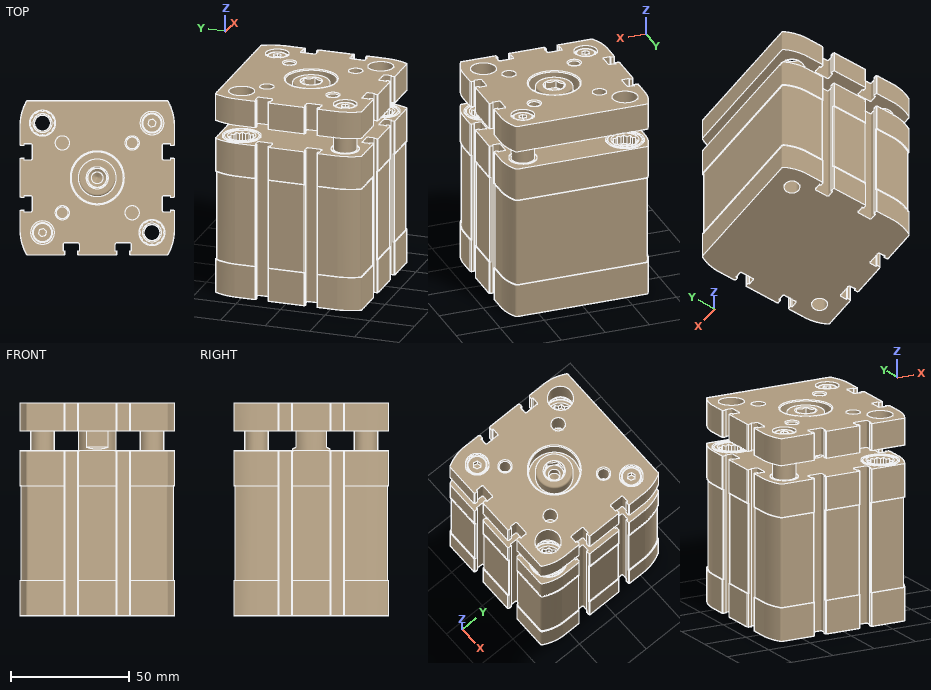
import cadquery as cq
import math

WIDTH = 65.5
TOTAL_HEIGHT = 90.2
HOUSING_HEIGHT = 70.0
PLATE_THICKNESS = 12.0
PLATE_BOTTOM = TOTAL_HEIGHT - PLATE_THICKNESS
HALF = WIDTH / 2

FLANK_END = 23.0
FLANK_TIP_X = 29.9
FLANK_BULGE_X = 31.9
HOUSING_CORNER_RADIUS = 1.1
PLATE_CORNER_RADIUS = 0.7

SLOT_OFFSET = 11.0
SLOT_DEPTH = 5.1
SLOT_LIP = 1.8
SLOT_WIDTH = 6.8
SLOT_MOUTH = 5.3
SLOT_EDGE_CHAMFER = 0.4
SLOT_FLOOR_FILLET = 0.5

END_CAP_HEIGHT = 15.0
BARREL_INSET = 0.4

CORNER_OFFSET = 23.2
ROD_CORNERS = [(-CORNER_OFFSET, -CORNER_OFFSET), (CORNER_OFFSET, CORNER_OFFSET)]
SCREW_CORNERS = [(-CORNER_OFFSET, CORNER_OFFSET), (CORNER_OFFSET, -CORNER_OFFSET)]

HEX_SIDES = 6
SCREW_HEX_TURN = 15
TWELVE_POINT_STEP = 30

TIE_RECESS_DIAMETER = 16.4
TIE_HEAD_DIAMETER = 15.5
TIE_SOCKET_RIM = 12.0
TIE_HEAD_CHAMFER = 0.45
TIE_SOCKET = 9.5
TIE_SOCKET_DEPTH = 4.5
TIE_COUNTERSINK = 8.0
TIE_BORE = 6.7

ACCESS_DIAMETER = 11.0
SMALL_HOLE_OFFSET = 14.8
SMALL_HOLE_DIAMETER = 6.0
THREAD_DIAMETER = 5.0
CENTRE_BORE = 22.0
CENTRE_BORE_DEPTH = 7.2
CENTRE_BORE_CHAMFER = 0.45

PISTON_ROD_DIAMETER = 16.0
ROD_TOP_DROP = 1.0
ROD_TOP_FILLET = 1.0
ROD_FLATS = 13.0
FLATS_LENGTH = 6.8
FLATS_RAMP = 0.8
ROD_HEX = 8.0
ROD_HEX_DEPTH = 3.5
ROD_HEX_RIM = 9.4
ROD_PILOT_DIAMETER = 5.0
ROD_PILOT_DEPTH = 9.0
DRILL_ANGLE = 118

GUIDE_ROD_DIAMETER = 10.0
GUIDE_SEAT_DIAMETER = 12.0
GUIDE_SEAT_DEPTH = 0.3
GUIDE_SCREW_HEAD = 8.5
GUIDE_SCREW_DROP = 0.8
GUIDE_SCREW_CHAMFER = 0.4
GUIDE_RECESS_DEPTH = 1.6
GUIDE_HEX = 3.1
GUIDE_HEX_DEPTH = 3.0


def cylinder(diameter, bottom, top, centre=(0, 0)):
    return cq.Workplane("XY", origin=(*centre, bottom)).circle(diameter / 2).extrude(top - bottom)


def cone(bottom_diameter, top_diameter, bottom, top, centre=(0, 0)):
    solid = cq.Solid.makeCone(bottom_diameter / 2, top_diameter / 2, top - bottom, cq.Vector(*centre, bottom))
    return cq.Workplane(obj=solid)


def hexagon(across_flats, bottom, top, centre=(0, 0), turn=0):
    """Hexagonal prism with two corners on the X direction, then turned about its axis."""
    corner_diameter = across_flats / math.cos(math.pi / HEX_SIDES)
    outline = cq.Workplane("XY", origin=(*centre, bottom)).polygon(HEX_SIDES, corner_diameter)
    prism = outline.extrude(top - bottom)
    return prism.rotate((*centre, 0), (*centre, 1), turn)


def drill_tip(diameter, top, centre=(0, 0)):
    """Downward cone left by a drill, starting at the full diameter."""
    height = diameter / 2 / math.tan(math.radians(DRILL_ANGLE / 2))
    return cone(0, diameter, top - height, top, centre)


def section_prism(bottom, top, corner_radius, inset=0.0):
    """Square prism whose X sides curve in towards the Y sides; inset shrinks it all round."""
    side = HALF - inset
    tip_x = FLANK_TIP_X - inset
    bulge_x = FLANK_BULGE_X - inset
    bulge_y = (FLANK_END + side) / 2
    return (
        cq.Workplane("XY", origin=(0, 0, bottom))
        .moveTo(side, -FLANK_END)
        .lineTo(side, FLANK_END)
        .threePointArc((bulge_x, bulge_y), (tip_x, side))
        .lineTo(-tip_x, side)
        .threePointArc((-bulge_x, bulge_y), (-side, FLANK_END))
        .lineTo(-side, -FLANK_END)
        .threePointArc((-bulge_x, -bulge_y), (-tip_x, -side))
        .lineTo(tip_x, -side)
        .threePointArc((bulge_x, -bulge_y), (side, -FLANK_END))
        .close()
        .extrude(top - bottom)
        .faces(">Y or <Y")
        .edges("|Z")
        .fillet(corner_radius)
    )


def slot_cutter(bottom, top, inset=0.0):
    """All six T-slots, with bevelled mouth edges, as one cutter."""
    mouth = SLOT_MOUTH / 2
    wide = SLOT_WIDTH / 2
    face = HALF - inset
    slot = (
        cq.Workplane("XY", origin=(0, 0, bottom))
        .polyline([
            (face, -mouth - SLOT_EDGE_CHAMFER),
            (face, mouth + SLOT_EDGE_CHAMFER),
            (face - SLOT_EDGE_CHAMFER, mouth),
            (HALF - SLOT_LIP, mouth),
            (HALF - SLOT_LIP, wide),
            (HALF - SLOT_DEPTH, wide),
            (HALF - SLOT_DEPTH, -wide),
            (HALF - SLOT_LIP, -wide),
            (HALF - SLOT_LIP, -mouth),
            (face - SLOT_EDGE_CHAMFER, -mouth),
        ])
        .close()
        .extrude(top - bottom)
        .faces("<X")
        .edges("|Z")
        .fillet(SLOT_FLOOR_FILLET)
    )
    pair = slot.translate((0, SLOT_OFFSET, 0)).union(slot.translate((0, -SLOT_OFFSET, 0)))
    cutter = pair
    for angle in (180, -90):
        cutter = cutter.union(pair.rotate((0, 0, 0), (0, 0, 1), angle))
    return cutter


def profile_block(bottom, top, corner_radius, inset=0.0):
    return section_prism(bottom, top, corner_radius, inset).cut(slot_cutter(bottom, top, inset))


def cut_tie_screw(housing, centre):
    """Screw head flush with the housing top: ring groove round it, twelve-point socket and bore in it."""
    top = HOUSING_HEIGHT
    floor = top - TIE_SOCKET_DEPTH
    head = cylinder(TIE_HEAD_DIAMETER, floor, top, centre).faces(">Z").edges().chamfer(TIE_HEAD_CHAMFER)
    groove = cylinder(TIE_RECESS_DIAMETER, floor, top, centre).cut(head)
    socket_bevel = (TIE_SOCKET_RIM - TIE_SOCKET) / 2
    socket = hexagon(TIE_SOCKET, floor, top, centre, SCREW_HEX_TURN).union(
        hexagon(TIE_SOCKET, floor, top, centre, SCREW_HEX_TURN + TWELVE_POINT_STEP)
    )
    sink = (TIE_COUNTERSINK - TIE_BORE) / 2
    return (
        housing.cut(groove)
        .cut(socket)
        .cut(cone(TIE_SOCKET, TIE_SOCKET_RIM, top - socket_bevel, top, centre))
        .cut(cone(TIE_BORE, TIE_COUNTERSINK, floor - sink, floor, centre))
        .cut(cylinder(TIE_BORE, 0, floor, centre))
    )


def make_housing():
    cap_top = HOUSING_HEIGHT - END_CAP_HEIGHT
    housing = (
        profile_block(0, END_CAP_HEIGHT, HOUSING_CORNER_RADIUS)
        .union(profile_block(END_CAP_HEIGHT, cap_top, HOUSING_CORNER_RADIUS, BARREL_INSET))
        .union(profile_block(cap_top, HOUSING_HEIGHT, HOUSING_CORNER_RADIUS))
    )
    for centre in SCREW_CORNERS:
        housing = cut_tie_screw(housing, centre)
    for centre in ROD_CORNERS:
        seat = cylinder(GUIDE_SEAT_DIAMETER, HOUSING_HEIGHT - GUIDE_SEAT_DEPTH, HOUSING_HEIGHT, centre)
        housing = housing.cut(seat)
    return housing


def make_plate():
    top = TOTAL_HEIGHT
    plate = profile_block(PLATE_BOTTOM, top, PLATE_CORNER_RADIUS)
    bore_floor = top - CENTRE_BORE_DEPTH
    rim = CENTRE_BORE + 2 * CENTRE_BORE_CHAMFER
    plate = plate.cut(cylinder(CENTRE_BORE, bore_floor, top))
    plate = plate.cut(cone(CENTRE_BORE, rim, top - CENTRE_BORE_CHAMFER, top))
    for centre in SCREW_CORNERS:
        plate = plate.cut(cylinder(ACCESS_DIAMETER, PLATE_BOTTOM, top, centre))
    thread_bevel = (SMALL_HOLE_DIAMETER - THREAD_DIAMETER) / 2
    for side in (-1, 1):
        plain = (side * SMALL_HOLE_OFFSET, -side * SMALL_HOLE_OFFSET)
        threaded = (side * SMALL_HOLE_OFFSET, side * SMALL_HOLE_OFFSET)
        plate = (
            plate.cut(cylinder(SMALL_HOLE_DIAMETER, PLATE_BOTTOM, top, plain))
            .cut(cylinder(THREAD_DIAMETER, PLATE_BOTTOM, top, threaded))
            .cut(cone(THREAD_DIAMETER, SMALL_HOLE_DIAMETER, top - thread_bevel, top, threaded))
        )
    return plate


def make_piston_rod():
    top = TOTAL_HEIGHT - ROD_TOP_DROP
    rod = cylinder(PISTON_ROD_DIAMETER, HOUSING_HEIGHT, top).faces(">Z").edges().fillet(ROD_TOP_FILLET)
    radius = PISTON_ROD_DIAMETER / 2
    flat_end = PLATE_BOTTOM - FLATS_LENGTH
    flat_cutter = (
        cq.Workplane("YZ", origin=(-radius, 0, 0))
        .polyline([
            (ROD_FLATS / 2, PLATE_BOTTOM),
            (radius, PLATE_BOTTOM),
            (radius, flat_end - FLATS_RAMP),
            (ROD_FLATS / 2, flat_end),
        ])
        .close()
        .extrude(PISTON_ROD_DIAMETER)
    )
    rod = rod.cut(flat_cutter).cut(flat_cutter.mirror("XZ"))
    hex_floor = top - ROD_HEX_DEPTH
    rim_bevel = (ROD_HEX_RIM - ROD_HEX) / 2
    return (
        rod.cut(hexagon(ROD_HEX, hex_floor, top))
        .cut(cone(ROD_HEX, ROD_HEX_RIM, top - rim_bevel, top))
        .cut(drill_tip(ROD_HEX, hex_floor))
        .cut(cylinder(ROD_PILOT_DIAMETER, top - ROD_PILOT_DEPTH, hex_floor))
        .cut(drill_tip(ROD_PILOT_DIAMETER, top - ROD_PILOT_DEPTH))
    )


def add_guide_rod(body, centre):
    """Guide rod below the plate, and the socket screw that holds it in a recess in the plate top."""
    recess_floor = TOTAL_HEIGHT - GUIDE_RECESS_DEPTH
    screw_top = TOTAL_HEIGHT - GUIDE_SCREW_DROP
    head = cylinder(GUIDE_SCREW_HEAD, recess_floor, screw_top, centre)
    head = head.faces(">Z").edges().chamfer(GUIDE_SCREW_CHAMFER)
    socket = hexagon(GUIDE_HEX, screw_top - GUIDE_HEX_DEPTH, screw_top, centre, SCREW_HEX_TURN)
    rod = cylinder(GUIDE_ROD_DIAMETER, HOUSING_HEIGHT - GUIDE_SEAT_DEPTH, PLATE_BOTTOM, centre)
    return (
        body.cut(cylinder(GUIDE_ROD_DIAMETER, recess_floor, TOTAL_HEIGHT, centre))
        .union(rod)
        .union(head)
        .cut(socket)
    )


def make_moving_unit():
    rod_passage = cylinder(PISTON_ROD_DIAMETER, PLATE_BOTTOM, TOTAL_HEIGHT)
    unit = make_plate().cut(rod_passage).union(make_piston_rod())
    for centre in ROD_CORNERS:
        unit = add_guide_rod(unit, centre)
    return unit


housing = make_housing()
moving_unit = make_moving_unit()
result = cq.Compound.makeCompound([housing.val(), moving_unit.val()])